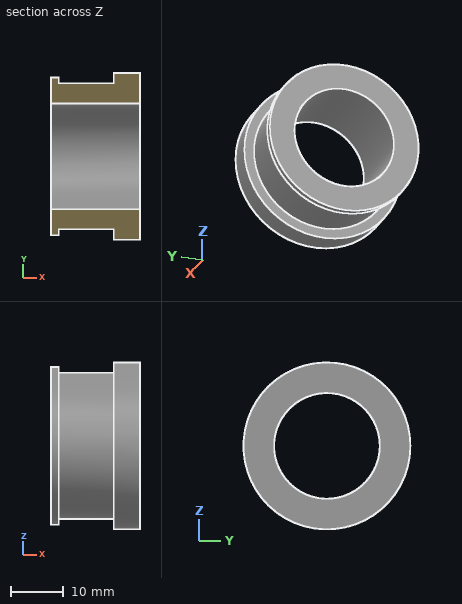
import cadquery as cq

total_length = 16.9
lip_width = 1.5
flange_width = 5.0
bore_diameter = 20.0
lip_diameter = 30.0
groove_diameter = 27.8
flange_diameter = 31.7

groove_width = total_length - lip_width - flange_width


def ring(start_x, width, outer_diameter):
    """Ring along +X from start_x, pierced by the common bore."""
    return (
        cq.Workplane("YZ", origin=(start_x, 0, 0))
        .circle(outer_diameter / 2)
        .circle(bore_diameter / 2)
        .extrude(width)
    )


lip_start = -total_length / 2
groove_start = lip_start + lip_width
flange_start = groove_start + groove_width

lip = ring(lip_start, lip_width, lip_diameter)
groove = ring(groove_start, groove_width, groove_diameter)
flange = ring(flange_start, flange_width, flange_diameter)

result = lip.union(groove).union(flange)